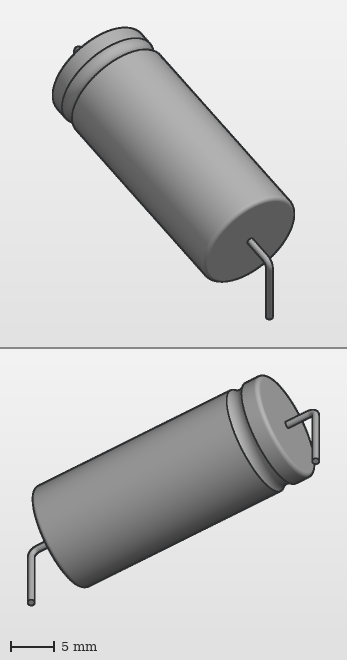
import cadquery as cq

overall_length = 39.0
can_length = 30.5
can_diameter = 13.0
can_edge_fillet = 0.5

groove_offset = 2.22
groove_width = 2.0
groove_depth = 0.43

lead_diameter = 0.8
lead_bend_radius = 0.98
lead_drop = 10.3

can_radius = can_diameter / 2
can_end_x = can_length / 2
groove_start_x = -can_end_x + groove_offset
groove_end_x = groove_start_x + groove_width
groove_middle_x = (groove_start_x + groove_end_x) / 2
lead_x = (overall_length - lead_diameter) / 2


def make_can():
    """Cylindrical can with rounded rims and a concave ring groove."""
    can = (
        cq.Workplane("YZ")
        .workplane(offset=-can_end_x)
        .circle(can_radius)
        .extrude(can_length)
        .faces("<X or >X")
        .edges()
        .fillet(can_edge_fillet)
    )
    groove = (
        cq.Workplane("XZ")
        .moveTo(groove_start_x, can_radius)
        .threePointArc(
            (groove_middle_x, can_radius - groove_depth),
            (groove_end_x, can_radius),
        )
        .lineTo(groove_end_x, can_radius + groove_depth)
        .lineTo(groove_start_x, can_radius + groove_depth)
        .close()
        .revolve(360, (0, 0, 0), (1, 0, 0))
    )
    return can.cut(groove)


def make_lead(side):
    """Round wire leaving the can end on the given side (-1 or 1) and bending down."""
    path = (
        cq.Workplane("XZ")
        .moveTo(side * can_end_x, 0)
        .lineTo(side * (lead_x - lead_bend_radius), 0)
        .tangentArcPoint((side * lead_x, -lead_bend_radius), relative=False)
        .lineTo(side * lead_x, -lead_drop)
    )
    return (
        cq.Workplane("YZ")
        .workplane(offset=side * can_end_x)
        .circle(lead_diameter / 2)
        .sweep(path)
    )


can = make_can()
leads = [make_lead(side) for side in (-1, 1)]

result = cq.Compound.makeCompound([can.val(), *[lead.val() for lead in leads]])